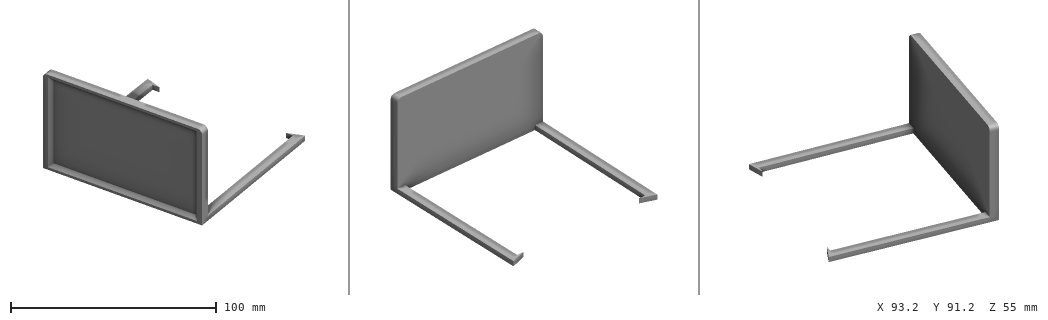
import cadquery as cq

plate_width = 93.15
plate_height = 55.0
plate_thickness = 5.0
corner_radius = 2.5

recess_side_margin = 3.0
recess_edge_margin = 1.5
recess_taper = 2.0
recess_depth = 2.0

total_depth = 91.2
arm_width = 5.0
arm_height = 3.0
arm_lean = 0.52
hook_reach = 9.5
hook_length = 3.2


def make_plate():
    plate = cq.Workplane("XY").box(
        plate_width, plate_thickness, plate_height, centered=(True, False, False)
    )
    return plate.edges("|Y and >Z").fillet(corner_radius)


def make_recess():
    mouth_width = plate_width - 2 * recess_side_margin
    mouth_height = plate_height - 2 * recess_edge_margin
    return (
        cq.Workplane("XZ", origin=(0, 0, plate_height / 2))
        .rect(mouth_width, mouth_height)
        .workplane(offset=-recess_depth)
        .rect(mouth_width - 2 * recess_taper, mouth_height - 2 * recess_taper)
        .loft(ruled=True)
    )


def make_left_arm():
    outer_x = -plate_width / 2
    hook_y = total_depth - hook_length
    lean_at_hook = arm_lean * (hook_y - plate_thickness) / (total_depth - plate_thickness)
    inner_x_at_hook = outer_x + arm_width + lean_at_hook
    outline = [
        (outer_x, plate_thickness),
        (outer_x + arm_lean, total_depth),
        (outer_x + hook_reach, hook_y),
        (inner_x_at_hook, hook_y),
        (outer_x + arm_width, plate_thickness),
    ]
    return cq.Workplane("XY").polyline(outline).close().extrude(arm_height)


left_arm = make_left_arm()
right_arm = left_arm.mirror("YZ")
result = make_plate().cut(make_recess()).union(left_arm).union(right_arm)